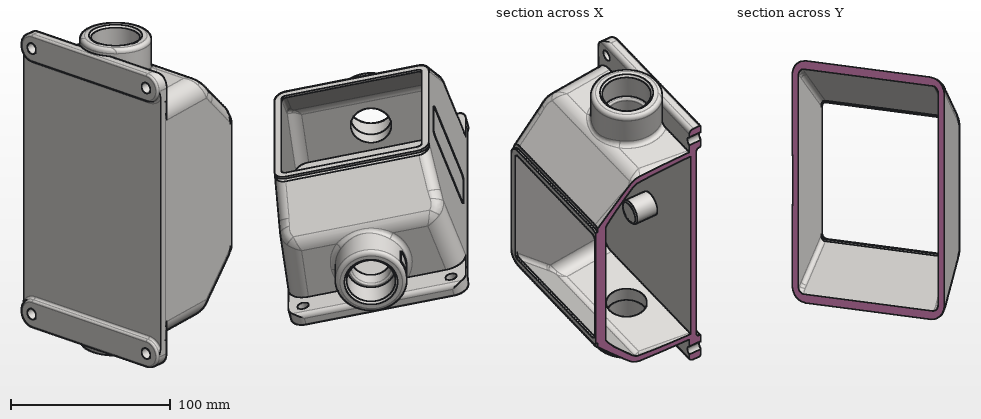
import cadquery as cq
import math

WIDTH = 114.3
DEPTH = 79.25
HEIGHT = 209.8

PLATE_HEIGHT = 200.0
PAD_RADIUS = 9.525
HOLE_SPACING_X = WIDTH - 2 * PAD_RADIUS
HOLE_Z = PLATE_HEIGHT / 2 - PAD_RADIUS
HOLE_DIAMETER = 7.2
PAD_RISE = 3.1
PAD_EDGE_RADIUS = 1.5
PAD_FOOT_RADIUS = PAD_RISE - PAD_EDGE_RADIUS
PLATE_TOP_Y = 8.85
PLATE_END_RADIUS = 3.2

DRAFT = math.radians(6)
SHOULDER_ANGLE = math.radians(45)
DRAFT_START_Y = 7.6
END_WALL_Z = 81.3
SHOULDER_Y = 48.7
LEDGE_Y = 77.7
RIM_Z = 49.2
END_RADIUS = 12.7
SLOPE_RADIUS = 7.5
WALL = 4.5
FLOOR_Y = PAD_RISE + WALL

PICK_TOLERANCE = 0.05

HUB_ROOT_Z = END_WALL_Z - END_RADIUS
HUB_AXIS_Y = 25.4
HUB_RADIUS = 22.5
HUB_MOUTH_RADIUS = 2.9
HUB_BLEND_RADIUS = 3.2
BORE_RADIUS = 15.3
BORE_CHAMFER = 1.4
BORE_DEPTH = 17.6
THROAT_RADIUS = 12.75
THROAT_EDGE_RADIUS = 1.3

BOSS_DIAMETER = 16.3
BOSS_TOP_Y = 23.6
BOSS_CHAMFER = 1.0

LABEL_DEPTH = 0.4
SIDE_LABEL_Y = (12.5, 69.6)
SIDE_LABEL_HEIGHT = 32.4
SIDE_LABEL_RADIUS = 3.2
HUB_LABEL_WIDTH = 15.3
HUB_LABEL_Z = (-100.0, -87.4)
HUB_LABEL_RADIUS = 1.0


def side_x(y):
    """Half width of the drafted housing at height y."""
    return WIDTH / 2 - (y - DRAFT_START_Y) * math.tan(DRAFT)


def y_box(x_size, z_size, y_low, y_high):
    """Box centred on X and Z, spanning y_low to y_high."""
    return cq.Workplane("XY").box(x_size, y_high - y_low, z_size).translate((0, (y_low + y_high) / 2, 0))


def tapered_prism(inset, y_low, y_high, half_length):
    """Prism along Z with both X sides drafted and moved inward by inset."""
    x_low = side_x(y_low) - inset / math.cos(DRAFT)
    x_high = side_x(y_high) - inset / math.cos(DRAFT)
    outline = [(-x_low, y_low), (x_low, y_low), (x_high, y_high), (-x_high, y_high)]
    return (cq.Workplane("XY").workplane(offset=-half_length)
            .polyline(outline).close().extrude(2 * half_length))


def raw_housing(inset, y_low):
    """Sharp-edged housing up to the ledge, with 45 degree shoulders at both ends."""
    end_z = END_WALL_Z - inset
    shoulder_y = SHOULDER_Y - inset * math.tan(SHOULDER_ANGLE / 2)
    ledge_z = end_z - (LEDGE_Y - shoulder_y)
    outline = [
        (y_low, -end_z), (shoulder_y, -end_z), (LEDGE_Y, -ledge_z),
        (LEDGE_Y, ledge_z), (shoulder_y, end_z), (y_low, end_z),
    ]
    side_profile = cq.Workplane("YZ").polyline(outline).close().extrude(WIDTH / 2, both=True)
    return tapered_prism(inset, y_low, LEDGE_Y, end_z).intersect(side_profile)


def edge_span(edge):
    """Y and Z extents of an edge."""
    box = edge.BoundingBox()
    return box.ymax - box.ymin, box.zmax - box.zmin


def end_edges(housing, inset):
    """Upright corner edges and horizontal shoulder edges at both ends."""
    shoulder_y = SHOULDER_Y - inset * math.tan(SHOULDER_ANGLE / 2)
    found = []
    for edge in housing.edges().vals():
        y_span, z_span = edge_span(edge)
        is_upright = y_span > PICK_TOLERANCE and z_span < PICK_TOLERANCE
        is_shoulder = y_span < PICK_TOLERANCE and abs(edge.Center().y - shoulder_y) < PICK_TOLERANCE
        if is_upright or is_shoulder:
            found.append(edge)
    return found


def slope_edges(housing):
    """Straight edges where the sloping shoulders meet the drafted sides."""
    found = []
    for edge in housing.edges("%LINE").vals():
        if min(edge_span(edge)) > PICK_TOLERANCE:
            found.append(edge)
    return found


def round_housing(inset, y_low):
    """Housing below the ledge with its end and slope edges rounded."""
    housing = raw_housing(inset, y_low)
    housing = housing.newObject(end_edges(housing, inset)).fillet(END_RADIUS - inset)
    return housing.newObject(slope_edges(housing)).fillet(SLOPE_RADIUS - inset)


def rim_prism(inset):
    """Raised rim, moved inward by inset, from the ledge to the open face."""
    rim = tapered_prism(inset, LEDGE_Y, DEPTH, RIM_Z - inset)
    corners = [edge for edge in rim.edges().vals() if edge_span(edge)[0] > PICK_TOLERANCE]
    return rim.newObject(corners).fillet(SLOPE_RADIUS - inset)


def plate_outline(y_low, y_high):
    """Slab with the rounded outline of the base plate."""
    return y_box(WIDTH, PLATE_HEIGHT, y_low, y_high).edges("|Y").fillet(PAD_RADIUS)


def base_plate():
    """Round-cornered plate whose inner end edges are rounded over."""
    plate = y_box(WIDTH, PLATE_HEIGHT, PAD_RISE, PLATE_TOP_Y)
    plate = plate.faces(">Y").edges("|X").fillet(PLATE_END_RADIUS)
    plate = plate.intersect(plate_outline(PAD_RISE, PLATE_TOP_Y))
    side_strip = y_box(2 * WIDTH, 2 * END_WALL_Z, DRAFT_START_Y, PLATE_TOP_Y)
    drafted = tapered_prism(0, DRAFT_START_Y, PLATE_TOP_Y, END_WALL_Z)
    return plate.cut(side_strip).union(drafted)


def pad_profile():
    """Half cross-section of a pad with a rounded edge and a concave foot."""
    foot_reach = PAD_RADIUS + PAD_FOOT_RADIUS
    return (cq.Workplane("XY").lineTo(PAD_RADIUS - PAD_EDGE_RADIUS, 0)
            .radiusArc((PAD_RADIUS, PAD_EDGE_RADIUS), -PAD_EDGE_RADIUS)
            .radiusArc((foot_reach, PAD_RISE), PAD_FOOT_RADIUS)
            .lineTo(0, PAD_RISE).close())


def mounting_pad():
    """Round-ended pad centred on Z = 0."""
    round_end = pad_profile().revolve(360, (0, 0, 0), (0, 1, 0))
    half_bar = pad_profile().extrude(HOLE_SPACING_X / 2, both=True).rotate((0, 0, 0), (0, 1, 0), 90)
    pad = half_bar.union(half_bar.rotate((0, 0, 0), (0, 1, 0), 180))
    for side in (-1, 1):
        pad = pad.union(round_end.translate((side * HOLE_SPACING_X / 2, 0, 0)))
    return pad


def z_cylinder(radius, z_low, z_high):
    """Cylinder on the upper hub's axis."""
    return (cq.Workplane("XY").workplane(offset=z_low)
            .center(0, HUB_AXIS_Y).circle(radius).extrude(z_high - z_low))


def hub(root_z):
    """Upper conduit hub with a rounded mouth, starting at root_z."""
    return z_cylinder(HUB_RADIUS, root_z, HEIGHT / 2).faces(">Z").edges().fillet(HUB_MOUTH_RADIUS)


def hub_bore():
    """Chamfered conduit socket and the rounded throat behind it."""
    tip_z = HEIGHT / 2
    stop_z = tip_z - BORE_DEPTH
    profile = (cq.Workplane("XZ").moveTo(0, HUB_ROOT_Z)
               .lineTo(THROAT_RADIUS, HUB_ROOT_Z)
               .lineTo(THROAT_RADIUS, stop_z - THROAT_EDGE_RADIUS)
               .radiusArc((THROAT_RADIUS + THROAT_EDGE_RADIUS, stop_z), THROAT_EDGE_RADIUS)
               .lineTo(BORE_RADIUS, stop_z)
               .lineTo(BORE_RADIUS, tip_z - BORE_CHAMFER)
               .lineTo(BORE_RADIUS + BORE_CHAMFER, tip_z)
               .lineTo(0, tip_z).close())
    return profile.revolve(360, (0, 0, 0), (0, 1, 0)).translate((0, HUB_AXIS_Y, 0))


def mirror_z(shape):
    """Shape together with its mirror image about Z = 0."""
    return shape.union(shape.mirror("XY"))


def hub_root_edges(shape):
    """Edges where the hubs leave the end walls and shoulders."""
    found = []
    for edge in shape.edges().vals():
        start = edge.startPoint()
        middle = edge.positionAt(0.5)
        on_hub = True
        for point in (start, middle):
            radius = math.hypot(point.x, point.y - HUB_AXIS_Y)
            on_hub = on_hub and abs(radius - HUB_RADIUS) < PICK_TOLERANCE
        if on_hub and abs(middle.z) < END_WALL_Z + PICK_TOLERANCE:
            found.append(edge)
    return found


def housing_with_hubs():
    """Housing above the plate with both hubs blended into it."""
    block_y = HUB_AXIS_Y - HUB_RADIUS - 2 * HUB_BLEND_RADIUS
    block = round_housing(0, block_y).union(mirror_z(hub(HUB_ROOT_Z)))
    block = block.newObject(hub_root_edges(block)).fillet(HUB_BLEND_RADIUS)
    above_plate = y_box(2 * WIDTH, 2 * HEIGHT, PLATE_TOP_Y, DEPTH)
    return block.intersect(above_plate).union(mirror_z(hub(END_WALL_Z)))


def boss():
    """Ground-screw boss standing on the floor."""
    return (cq.Workplane("XZ").workplane(offset=-FLOOR_Y)
            .circle(BOSS_DIAMETER / 2).extrude(-(BOSS_TOP_Y - FLOOR_Y))
            .faces(">Y").edges().chamfer(BOSS_CHAMFER))


def base_with_pads():
    """Plate carrying a pad at each end, trimmed to the plate outline."""
    pads = mirror_z(mounting_pad().translate((0, 0, HOLE_Z)))
    return base_plate().union(pads.intersect(plate_outline(0, PAD_RISE)))


def mounting_holes():
    """Four holes through the pads and the plate."""
    return (cq.Workplane("XZ").rect(HOLE_SPACING_X, 2 * HOLE_Z, forConstruction=True)
            .vertices().circle(HOLE_DIAMETER / 2).extrude(-PLATE_TOP_Y))


def side_label():
    """Shallow rounded recess cut square to the drafted -X side."""
    y_low, y_high = SIDE_LABEL_Y
    y_middle = (y_low + y_high) / 2
    length = (y_high - y_low) / math.cos(DRAFT)
    block = (cq.Workplane("YZ").rect(length, SIDE_LABEL_HEIGHT)
             .extrude(2 * LABEL_DEPTH, both=True).translate((-LABEL_DEPTH, 0, 0))
             .edges("|X").fillet(SIDE_LABEL_RADIUS))
    tilted = block.rotate((0, 0, 0), (0, 0, 1), -math.degrees(DRAFT))
    return tilted.translate((-side_x(y_middle), y_middle, 0))


def hub_label():
    """Shallow recess of even depth wrapped around the -X side of the lower hub."""
    z_low, z_high = HUB_LABEL_Z
    skin = z_cylinder(HUB_RADIUS, z_low, z_high)
    skin = skin.cut(z_cylinder(HUB_RADIUS - LABEL_DEPTH, z_low, z_high))
    window = (cq.Workplane("YZ").center(HUB_AXIS_Y, (z_low + z_high) / 2)
              .rect(HUB_LABEL_WIDTH, z_high - z_low).extrude(-HUB_RADIUS)
              .edges("|X").fillet(HUB_LABEL_RADIUS))
    return skin.intersect(window)


cavity = round_housing(WALL, FLOOR_Y).union(rim_prism(WALL))

result = housing_with_hubs().union(rim_prism(0)).union(base_with_pads())
result = result.cut(cavity).cut(mirror_z(hub_bore()))
result = result.union(boss())
result = result.cut(mounting_holes()).cut(side_label()).cut(hub_label())